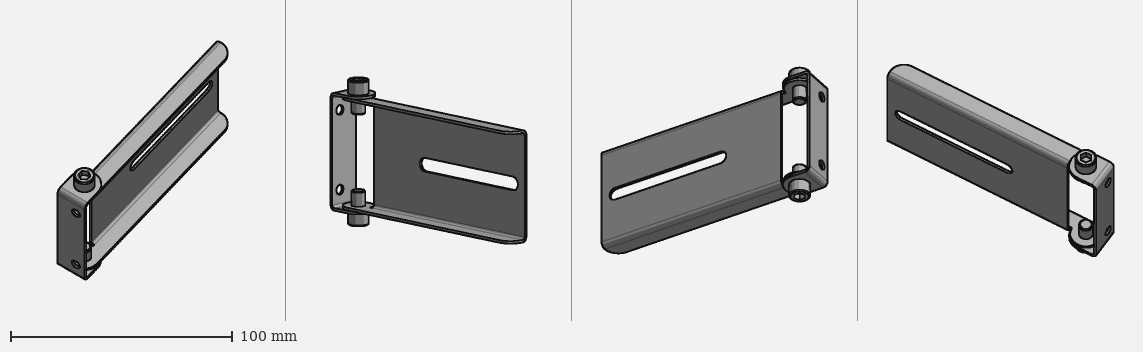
import cadquery as cq
import math

INCH = 25.4
sheet = 0.05 * INCH
bend_outer = 2 * sheet
bend_inner = bend_outer - sheet

bracket_width = 0.6 * INCH
bracket_height = 2.14 * INCH
ear_radius = bracket_width / 2
pivot_y = 0.4 * INCH
mount_hole_diameter = 4.5
mount_hole_x = 2.75
mount_hole_spacing = 36.8

channel_height = bracket_height - 2 * sheet
channel_back_x = -0.12 * INCH
lug_radius = 0.28 * INCH
channel_length = 3.75 * INCH
channel_end_y = 113.41
channel_start_y = channel_end_y - channel_length
flange_corner_radius = lug_radius
slot_length = 61.9
slot_width = 0.25 * INCH
slot_end_margin = 4.3

screw_diameter = 0.25 * INCH
screw_length = 0.375 * INCH
screw_chamfer = 0.6
head_diameter = 0.375 * INCH
head_height = 0.25 * INCH
head_chamfer = 0.6
hex_across_flats = 0.1875 * INCH
hex_depth = 0.12 * INCH
hex_across_corners = hex_across_flats / math.cos(math.pi / 6)


def box_between(low, high):
    """Axis-aligned box given by two opposite corners."""
    size = [b - a for a, b in zip(low, high)]
    return cq.Workplane("XY").box(*size, centered=False).translate(low)


def make_bracket():
    ear_end = pivot_y + ear_radius
    half_width = bracket_width / 2
    half_height = bracket_height / 2
    outer = box_between((-half_width, 0, -half_height), (half_width, ear_end, half_height))
    outer = outer.edges("|X and <Y").fillet(bend_outer)
    inner_half = half_height - sheet
    inner = box_between((-half_width, sheet, -inner_half), (half_width, ear_end, inner_half))
    inner = inner.edges("|X and <Y").fillet(bend_inner)
    outline = (
        cq.Workplane("XY")
        .moveTo(-half_width, 0)
        .lineTo(half_width, 0)
        .lineTo(half_width, pivot_y)
        .threePointArc((0, ear_end), (-half_width, pivot_y))
        .close()
    )
    bracket = outer.cut(inner).intersect(outline.extrude(half_height, both=True))
    holes = (
        cq.Workplane("XZ")
        .pushPoints([(mount_hole_x, side * mount_hole_spacing / 2) for side in (-1, 1)])
        .circle(mount_hole_diameter / 2)
        .extrude(-sheet)
    )
    return bracket.cut(holes)


def make_channel():
    half_height = channel_height / 2
    outer = box_between(
        (channel_back_x, pivot_y, -half_height), (lug_radius, channel_end_y, half_height)
    )
    outer = outer.edges("|Y and <X").fillet(bend_outer)
    outer = outer.edges("|Z and >X and >Y").fillet(flange_corner_radius)
    inner_half = half_height - sheet
    inner = box_between(
        (channel_back_x + sheet, pivot_y, -inner_half), (lug_radius, channel_end_y, inner_half)
    )
    inner = inner.edges("|Y and <X").fillet(bend_inner)

    flange_start_x = channel_back_x + bend_outer
    relief = box_between(
        (channel_back_x, pivot_y, -half_height), (flange_start_x, channel_start_y, half_height)
    )
    channel = outer.cut(inner).cut(relief)

    for bottom_z in (-half_height, inner_half):
        lug_plane = cq.Workplane("XY", origin=(0, pivot_y, bottom_z))
        channel = channel.union(lug_plane.circle(lug_radius).extrude(sheet))

    slot_center_y = channel_end_y - slot_end_margin - slot_length / 2
    slot = (
        cq.Workplane("YZ", origin=(channel_back_x, slot_center_y, 0))
        .slot2D(slot_length, slot_width)
        .extrude(sheet)
    )
    return channel.cut(slot)


def make_top_screw():
    seat_z = bracket_height / 2
    seat = cq.Workplane("XY", origin=(0, pivot_y, seat_z))
    head = seat.circle(head_diameter / 2).extrude(head_height).edges(">Z").chamfer(head_chamfer)
    shank = seat.circle(screw_diameter / 2).extrude(-screw_length).edges("<Z").chamfer(screw_chamfer)
    socket = (
        seat.workplane(offset=head_height - hex_depth)
        .transformed(rotate=(0, 0, 90))
        .polygon(6, hex_across_corners)
        .extrude(hex_depth)
    )
    return head.union(shank).cut(socket)


top_screw = make_top_screw()
bottom_screw = top_screw.mirror("XY")
result = make_bracket().union(make_channel()).union(top_screw).union(bottom_screw)